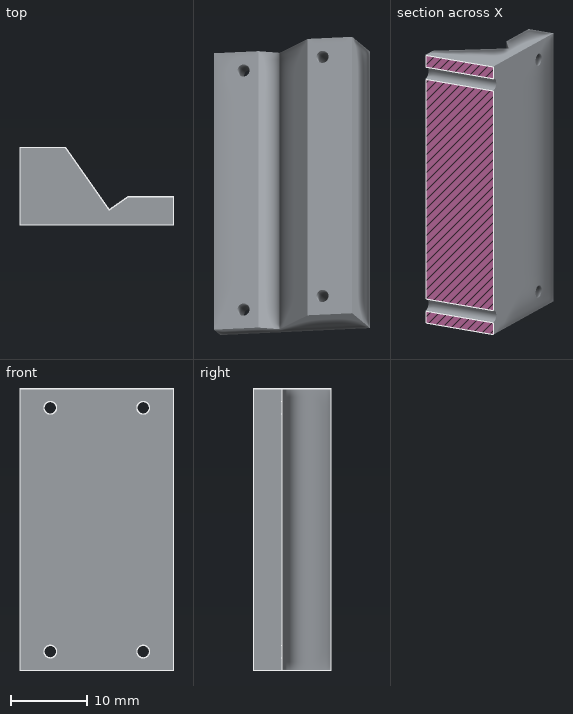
import cadquery as cq
import math

steep_angle = math.radians(55)
steep_flank_length = 10.0
shallow_flank_length = 3.0
floor_thickness = 2.0
land_width = 6.0

hole_diameter = 1.62
hole_inset_x = 4.0
hole_inset_z = 2.5

height = 37.0
groove_bottom_x = land_width + steep_flank_length * math.cos(steep_angle)
ledge_start_x = groove_bottom_x + shallow_flank_length * math.sin(steep_angle)
width = ledge_start_x + land_width
depth = floor_thickness + steep_flank_length * math.sin(steep_angle)
ledge_depth = floor_thickness + shallow_flank_length * math.cos(steep_angle)


def make_block():
    """Extrude the grooved profile along Z."""
    profile = [
        (0, 0),
        (width, 0),
        (width, ledge_depth),
        (ledge_start_x, ledge_depth),
        (groove_bottom_x, floor_thickness),
        (land_width, depth),
        (0, depth),
    ]
    return cq.Workplane("XY").polyline(profile).close().extrude(height)


def make_hole_cutters():
    """Return the four cylinders that cut the corner holes through Y."""
    spacing_x = width - 2 * hole_inset_x
    spacing_z = height - 2 * hole_inset_z
    return (
        cq.Workplane("XZ", origin=(width / 2, 0, height / 2))
        .rarray(spacing_x, spacing_z, 2, 2)
        .circle(hole_diameter / 2)
        .extrude(-depth)
    )


result = make_block().cut(make_hole_cutters())